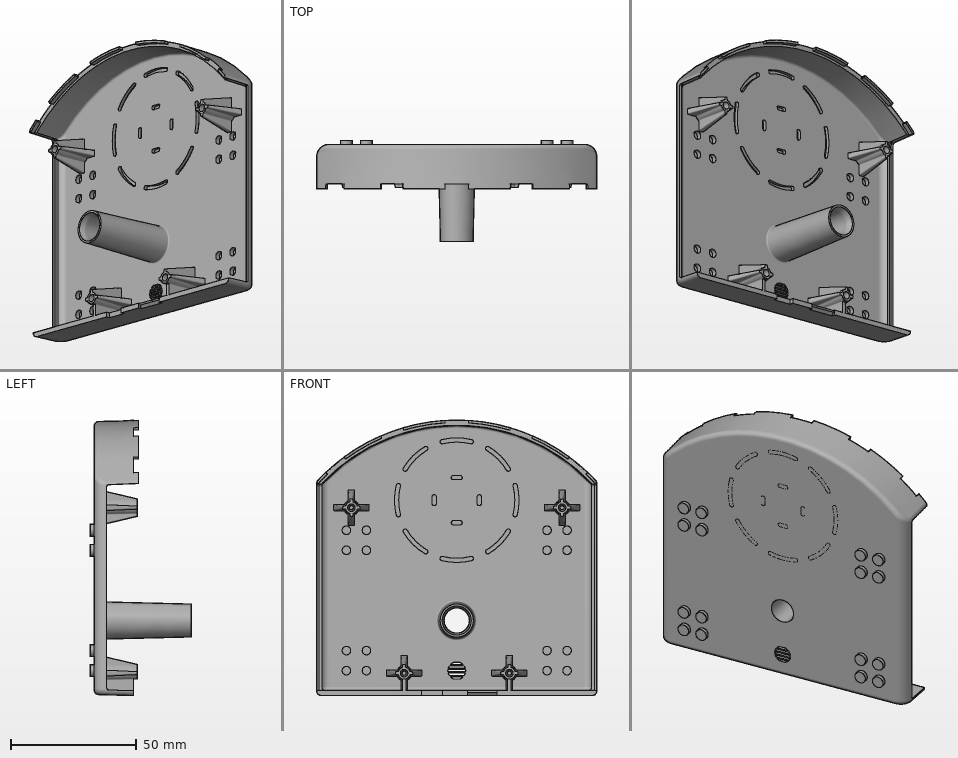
import cadquery as cq
import math


half_width = 55.9
wall = 2.0
bottom_z = -37.55
arch_top_z = 71.5
arch_radius = 75.3
arch_axis_z = arch_top_z - arch_radius
draft_slope = 0.0277
arch_depth = 17.8
flange_depth = 15.8
side_depth = 5.0
lip_thickness = 1.0
side_lip_height = 1.0
side_radius = 5.0
edge_radius = 2.0
inner_radius = 1.0
past = 10.0

notch_angles = (-40, -20, 0, 20, 40)
notch_width_angle = 7.2

notch_depth = 1.7
square_notch_x = -9.9
square_notch_width = 8.3
sloped_notch_x = 10.2
sloped_notch_width = 11.7
sloped_notch_land = 0.75
sloped_notch_land_depth = 0.7

foot_diameter = 4.8
foot_height = 1.6
foot_hole_diameter = 3.4
foot_hole_depth = wall
foot_group_x = 40.0
foot_group_z = 24.0
foot_half_pitch = 4.0

dial_z = 40.0
groove_depth = 1.5
groove_width = 1.7
dial_radius = 24.0
dial_groove_count = 8
dial_groove_half_angle = 14.0
short_groove_offset = 9.0
short_groove_length = 4.4
short_groove_count = 4

tube_z = -8.0
tube_length = 38.8
tube_root_radius = 7.5
tube_tip_radius = 6.6
tube_foot_fillet = 0.5
bore_back_radius = 5.0
bore_throat_radius = 5.1
bore_tip_radius = 5.8
bore_flare_depth = 2.5

vent_z = -28.0
vent_diameter = 7.0
vent_slit_height = 0.85
vent_slit_pitch = 1.43
vent_slit_count = 5

post_tip_y = -17.3
post_root_radius = 3.0
post_tip_radius = 2.4
post_hole_radius = 1.5
post_hole_end_radius = 0.8
post_hole_depth = 10.0
rib_root_reach = 7.1
rib_tip_reach = 3.5
rib_root_width = 2.6
rib_tip_width = 1.2
rib_edge_radius = 0.5
post_inner_radius = 0.4
upper_post_x = 42.0
upper_post_z = 37.0
lower_post_x = 21.0
lower_post_z = -29.0


def box_selector(half_x, y0, y1, z0, z1):
    """Selects what has its centre in a box that is symmetric about X = 0."""
    return cq.selectors.BoxSelector((-half_x, y0, z0), (half_x, y1, z1))


def cylinder(x, z, radius, y_start, y_end):
    """A cylinder along Y between two depths."""
    return cq.Workplane("XZ", origin=(x, y_start, z)).circle(radius).extrude(y_start - y_end)


def cone(x, z, y_start, radius_start, y_end, radius_end):
    """A truncated cone along Y between two depths."""
    profile = [(0, y_start), (radius_start, y_start), (radius_end, y_end), (0, y_end)]
    return (
        cq.Workplane("XY", origin=(x, 0, z)).polyline(profile).close()
        .revolve(360, (0, 0, 0), (0, 1, 0))
    )


def box_between(x0, x1, y0, y1, z0, z1):
    """A box given by its limits along each axis."""
    return cq.Workplane("XY").box(x1 - x0, y1 - y0, z1 - z0, centered=False).translate((x0, y0, z0))


def arch_cone(inset, y_start, y_end):
    """The leaning arch surface, moved inward by inset, as a solid between two depths."""
    radius = arch_radius - inset
    return cone(0, arch_axis_z, y_start, radius - draft_slope * y_start, y_end, radius - draft_slope * y_end)


def above_bottom(inset, y_start, y_end, top_start_z, top_end_z, reach=half_width + past):
    """Everything above the leaning bottom, moved up by inset, below a top that may lean too."""
    z = bottom_z + inset
    profile = [
        (y_start, z + draft_slope * y_start),
        (y_end, z + draft_slope * y_end),
        (y_end, top_end_z),
        (y_start, top_start_z),
    ]
    return cq.Workplane("YZ", origin=(-reach, 0, 0)).polyline(profile).close().extrude(2 * reach)


def arch_end_z(y):
    """Height at depth y where the inside of the arch wall meets the inside of the sides."""
    inside_radius = arch_radius - wall - draft_slope * y
    return arch_axis_z + math.sqrt(inside_radius ** 2 - (half_width - wall) ** 2)


def rounded_block(inset, y_end, back_radius, rim_radius):
    """The arched outline as a block with a rounded back, moved inward by inset on all sides."""
    half = half_width - inset
    roof_z = arch_top_z + past
    floor_z = bottom_z + inset
    block = box_between(-half, half, y_end, -inset, bottom_z - past, roof_z)
    block = block.edges("|Z and >Y").fillet(back_radius)
    block = block.intersect(arch_cone(inset, -inset, y_end))
    block = block.intersect(above_bottom(inset, -inset, y_end, roof_z, roof_z))
    front_limit = y_end + side_depth
    arch_edges = box_selector(half_width, front_limit, wall, arch_end_z(0) - wall, roof_z)
    bottom_edges = box_selector(half_width, front_limit, wall, floor_z - wall, floor_z + wall)
    return block.edges(arch_edges).fillet(rim_radius).edges(bottom_edges).fillet(rim_radius)


def side_opening(y_start, y_end, reach):
    """The opening in front of the low sides, between the flange and the ends of the arch wall."""
    opening = above_bottom(wall, y_start, y_end, arch_end_z(y_start), arch_end_z(y_end), reach)
    return opening.edges("|X and >Y").fillet(inner_radius)


def shell():
    """Back plate with the tall arch wall, the bottom flange and low sides."""
    body = rounded_block(0, -arch_depth, side_radius, edge_radius)
    front = -arch_depth - past
    cavity = rounded_block(wall, front, side_radius - wall, inner_radius)
    outer_opening = side_opening(-side_depth, front, half_width + past)
    inner_opening = side_opening(side_lip_height - side_depth, front, half_width - lip_thickness)
    lip_inside = arch_cone(lip_thickness, -flange_depth, front)
    return body.cut(cavity).cut(outer_opening).cut(inner_opening).cut(lip_inside)


def arch_notch(angle):
    """A gap in the arch lip, with radial ends."""
    half_angle = math.radians(notch_width_angle / 2)
    reach = arch_radius + past
    spread = reach * math.tan(half_angle)
    wedge = (
        cq.Workplane("XZ", origin=(0, -flange_depth, arch_axis_z))
        .polyline([(0, 0), (-spread, reach), (spread, reach)]).close()
        .extrude(past)
    )
    return wedge.rotate((0, 0, arch_axis_z), (0, 1, arch_axis_z), angle)


def flange_notches():
    """A square notch and a notch with a sloping face in the front edge of the flange."""
    back_y = notch_depth - flange_depth
    top_z = bottom_z + wall
    below_z = bottom_z - wall
    square = box_between(
        square_notch_x - square_notch_width / 2, square_notch_x + square_notch_width / 2,
        -flange_depth, back_y, below_z, top_z,
    )
    land_y = sloped_notch_land_depth - flange_depth
    slope_start_z = top_z + draft_slope * land_y - sloped_notch_land
    profile = [
        (-flange_depth, top_z),
        (land_y, top_z),
        (land_y, slope_start_z),
        (back_y, bottom_z + draft_slope * back_y),
        (back_y, below_z),
        (-flange_depth, below_z),
    ]
    sloped = (
        cq.Workplane("YZ", origin=(sloped_notch_x - sloped_notch_width / 2, 0, 0))
        .polyline(profile).close().extrude(sloped_notch_width)
    )
    return square.union(sloped)


def at_feet(shape):
    """Copies of a shape at the centres of the feet: four groups of four."""
    offsets = (-foot_half_pitch, foot_half_pitch)
    places = [
        (side * foot_group_x + dx, level * foot_group_z + dz)
        for side in (-1, 1) for level in (-1, 1) for dx in offsets for dz in offsets
    ]
    copies = cq.Workplane("XY")
    for x, z in places:
        copies = copies.add(shape.translate((x, 0, z)))
    return copies.combine()


def dial_groove():
    """One curved groove with round ends at the top of the dial."""
    angle = math.radians(dial_groove_half_angle)
    half = groove_width / 2

    def point(radius, direction):
        return (radius * math.sin(direction), radius * math.cos(direction))

    outer = dial_radius + half
    inner = dial_radius - half
    tip_angle = angle + half / dial_radius
    return (
        cq.Workplane("XZ", origin=(0, groove_depth - wall, dial_z))
        .moveTo(*point(outer, -angle))
        .threePointArc((0, outer), point(outer, angle))
        .threePointArc(point(dial_radius, tip_angle), point(inner, angle))
        .threePointArc((0, inner), point(inner, -angle))
        .threePointArc(point(dial_radius, -tip_angle), point(outer, -angle))
        .close().extrude(groove_depth)
    )


def short_groove():
    """One short straight groove above the middle of the dial."""
    return (
        cq.Workplane("XZ", origin=(0, groove_depth - wall, dial_z + short_groove_offset))
        .slot2D(short_groove_length, groove_width).extrude(groove_depth)
    )


def around_dial(groove, count):
    """Copies of a groove spread evenly around the dial."""
    copies = cq.Workplane("XY")
    for index in range(count):
        copies = copies.add(groove.rotate((0, 0, dial_z), (0, 1, dial_z), index * 360 / count))
    return copies.combine()


def vent():
    """Horizontal slits filling a circle, right through the plate."""
    slits = cq.Workplane("XY")
    for index in range(vent_slit_count):
        z = vent_z + (index - (vent_slit_count - 1) / 2) * vent_slit_pitch
        slits = slits.add(box_between(
            -vent_diameter, vent_diameter, -wall, 0, z - vent_slit_height / 2, z + vent_slit_height / 2
        ))
    return slits.combine().intersect(cylinder(0, vent_z, vent_diameter / 2, 0, -wall))


def tube():
    """Tapered tube standing on the plate, with a small fillet at its foot."""
    fillet_start = tube_root_radius + tube_foot_fillet
    bend = tube_foot_fillet * (1 - math.sqrt(0.5))
    return (
        cq.Workplane("XY", origin=(0, 0, tube_z))
        .moveTo(0, -wall / 2).lineTo(fillet_start, -wall / 2).lineTo(fillet_start, -wall)
        .threePointArc(
            (tube_root_radius + bend, -wall - bend), (tube_root_radius, -wall - tube_foot_fillet)
        )
        .lineTo(tube_tip_radius, -tube_length).lineTo(0, -tube_length).close()
        .revolve(360, (0, 0, 0), (0, 1, 0))
        .rotate((0, 0, tube_z), (0, 1, tube_z), -90)
    )


def tube_bore():
    """Slightly tapered bore through the tube and the plate, flared at the tip."""
    throat_y = bore_flare_depth - tube_length
    bore = cone(0, tube_z, 0, bore_back_radius, throat_y, bore_throat_radius)
    return bore.union(cone(0, tube_z, throat_y, bore_throat_radius, -tube_length, bore_tip_radius))


def rib_pair():
    """A bar along X, tapering from the plate to the tip of a post, with rounded outer edges."""
    bar = (
        cq.Workplane("XZ", origin=(0, -wall, 0)).rect(2 * rib_root_reach, rib_root_width)
        .workplane(offset=-wall - post_tip_y).rect(2 * rib_tip_reach, rib_tip_width)
        .loft(ruled=True)
    )
    return bar.edges("not (|X or |Z)").fillet(rib_edge_radius)


def post():
    """Tapered round post with four ribs, centred on the Y axis."""
    across = rib_pair()
    upright = across.rotate((0, 0, 0), (0, 1, 0), 90)
    core = cone(0, 0, -wall, post_root_radius, post_tip_y, post_tip_radius)
    joined = core.union(across).union(upright)
    inner_reach = post_root_radius + rib_root_width / 4
    middle_y = (post_tip_y - wall) / 2
    inner_edges = box_selector(inner_reach, middle_y - wall, middle_y + wall, -inner_reach, inner_reach)
    return joined.edges(inner_edges).fillet(post_inner_radius)


def trimmed_post(whole_post):
    """A copy of a post whose bottom rib ends level with the flange, where the flange rib takes over."""
    rib_front = box_between(
        -rib_root_width, rib_root_width, post_tip_y, -flange_depth, -rib_root_reach, -post_tip_radius
    )
    return whole_post.cut(rib_front)


def post_hole():
    """Tapered screw hole in a post, centred on the Y axis."""
    end_y = post_tip_y + post_hole_depth
    return cone(0, 0, post_tip_y, post_hole_radius, end_y, post_hole_end_radius)


def flange_rib(x):
    """Rib joining a lower post to the flange, thinner toward the front."""
    taper = (rib_root_width - rib_tip_width) / (-wall - post_tip_y)
    front_width = rib_root_width - taper * (flange_depth - wall)
    low_z = bottom_z + wall / 2
    return (
        cq.Workplane("XY", origin=(x, 0, low_z))
        .polyline([
            (-rib_root_width / 2, -wall), (rib_root_width / 2, -wall),
            (front_width / 2, -flange_depth), (-front_width / 2, -flange_depth),
        ])
        .close().extrude(lower_post_z - low_z)
    )


body = shell()
for notch_angle in notch_angles:
    body = body.cut(arch_notch(notch_angle))
body = body.cut(flange_notches())

body = body.union(at_feet(cylinder(0, 0, foot_diameter / 2, foot_height, -wall / 2)))
body = body.cut(at_feet(cylinder(0, 0, foot_hole_diameter / 2, foot_hole_depth - wall, -wall)))

body = body.cut(around_dial(dial_groove(), dial_groove_count))
body = body.cut(around_dial(short_groove(), short_groove_count))
body = body.cut(vent())

body = body.union(tube())
body = body.cut(tube_bore())

upper_post = post()
lower_post = trimmed_post(upper_post)
for side in (-1, 1):
    lower_x = side * lower_post_x
    upper_x = side * upper_post_x
    body = body.union(flange_rib(lower_x))
    body = body.union(lower_post.translate((lower_x, 0, lower_post_z)))
    body = body.union(upper_post.translate((upper_x, 0, upper_post_z)))
    body = body.cut(post_hole().translate((lower_x, 0, lower_post_z)))
    body = body.cut(post_hole().translate((upper_x, 0, upper_post_z)))

result = body